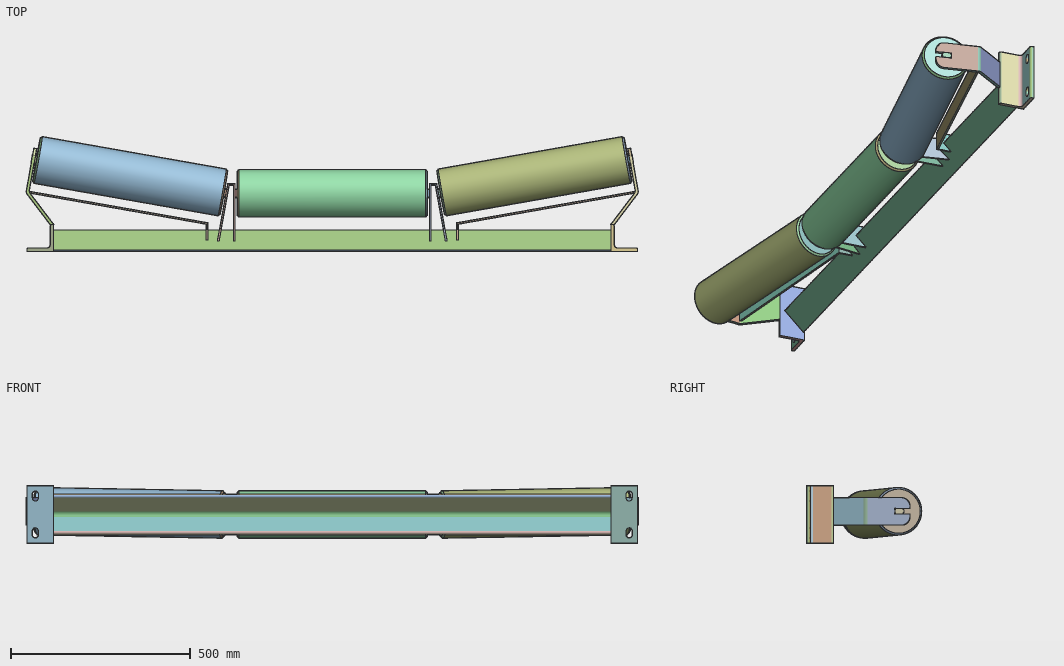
import cadquery as cq
import math


total_length = 1705.0
trough_angle = 10.0
forward_tilt = 1.0

beam_leg = 80.0
beam_thickness = 9.0
beam_root_radius = 10.0
beam_toe_radius = 5.0

foot_half_span = 850.0
foot_leg = 75.0
foot_thickness = 10.0
foot_root_radius = 9.0
foot_toe_radius = 5.0
foot_width = 160.0
bolt_slot_width = 17.0
bolt_slot_length = 27.0
bolt_slot_edge = 24.0
bolt_slot_pitch = 102.0
arm_thickness = 9.0
arm_width = 77.0
arm_offset = 9.0
arm_bend_height = 164.0
arm_bend_radius = 14.0
arm_top_height = 288.0
arm_corner_radius = 24.0

roller_radius = 66.0
roller_length = 530.0
roller_edge = 5.0
shaft_diameter = 25.0
shaft_flat_width = 15.0
side_shaft_reach = 14.0
slot_overrun = 2.0
middle_axis_height = 162.0
side_inner_x = 302.0
side_inner_height = 164.0

strip_thickness = 5.0
saddle_width = 61.0
saddle_height = 190.0
saddle_gap = 5.0
guard_width = 51.0
guard_offset = 3.0
guard_leg_x = 346.0
guard_corner_height = 80.0

trough = math.radians(trough_angle)
beam_drop = beam_leg * math.sqrt(0.5)
toe_drop = beam_thickness * math.sqrt(0.5)
toe_trim = beam_toe_radius * (math.sqrt(2) - 1)
beam_top = beam_drop + toe_drop - toe_trim
web_outer_x = foot_half_span - foot_leg + foot_thickness
web_inner_x = foot_half_span - foot_leg


def prism(points, z_middle, width):
    """Closed XY outline extruded symmetrically about z_middle."""
    return (
        cq.Workplane("XY")
        .workplane(offset=z_middle - width / 2)
        .polyline(points)
        .close()
        .extrude(width)
    )


def bent_strip(path, thickness, z_middle, width):
    """Sheet of even thickness lying to the left of an XY path, with mitred bends."""
    normals = []
    for (x0, y0), (x1, y1) in zip(path, path[1:]):
        length = math.hypot(x1 - x0, y1 - y0)
        normals.append(((y0 - y1) / length, (x1 - x0) / length))
    far_side = []
    for i, (x, y) in enumerate(path):
        ax, ay = normals[max(i - 1, 0)]
        bx, by = normals[min(i, len(normals) - 1)]
        reach = thickness / (1 + ax * bx + ay * by)
        far_side.append((x + (ax + bx) * reach, y + (ay + by) * reach))
    return prism(path + far_side[::-1], z_middle, width)


def mirrored(body):
    return body.mirror("YZ")


def place_side(body):
    """Moves a body built around the X axis, centred on a roller, to the left roller's place."""
    half = roller_length / 2
    tilt = math.radians(forward_tilt)
    return (
        body.rotate((0, 0, 0), (0, 1, 0), forward_tilt)
        .rotate((0, 0, 0), (0, 0, 1), -trough_angle)
        .translate((
            -side_inner_x - half * math.cos(tilt) * math.cos(trough),
            side_inner_height + half * math.cos(tilt) * math.sin(trough),
            half * math.sin(tilt),
        ))
    )


def place_middle(body):
    return body.translate((0, middle_axis_height, 0))


def make_roller():
    shell = (
        cq.Workplane("YZ")
        .circle(roller_radius)
        .extrude(roller_length)
        .translate((-roller_length / 2, 0, 0))
        .faces("<X or >X")
        .edges()
        .chamfer(roller_edge)
    )
    bore = cq.Workplane("YZ").circle(shaft_diameter / 2).extrude(roller_length, both=True)
    return shell.cut(bore)


def make_shaft(outer_end, inner_end):
    """Round shaft along X with two flats on each end that stands out of the roller."""
    shaft = cq.Workplane("YZ").circle(shaft_diameter / 2).extrude(inner_end + outer_end)
    shaft = shaft.translate((-outer_end, 0, 0))
    flats = cq.Workplane("XY").box(2 * total_length, shaft_diameter, shaft_flat_width)
    core = cq.Workplane("XY").box(roller_length, shaft_diameter, shaft_diameter)
    return shaft.intersect(flats.union(core))


def make_shaft_slot(x_start, x_end):
    """Cutter for a slot that carries a shaft end and is open upwards."""
    height = roller_radius + shaft_diameter / 2
    slot = cq.Workplane("XY").box(
        x_end - x_start, height, shaft_flat_width, centered=(False, False, True)
    )
    return slot.translate((x_start, -shaft_diameter / 2, 0))


arm_lean = math.atan2(total_length / 2 - web_outer_x, arm_bend_height - foot_leg)
bend_half_angle = (arm_lean + trough) / 2
bend_tilt = (arm_lean - trough) / 2
bend_overshoot = arm_bend_radius * (math.cos(bend_tilt) / math.cos(bend_half_angle) - 1)
bend_x = total_length / 2 + bend_overshoot
arm_top_x = bend_x - (arm_top_height - arm_bend_height) * math.tan(trough)


def make_foot():
    angle = prism(
        [
            (-foot_half_span, 0),
            (-web_inner_x, 0),
            (-web_inner_x, foot_leg),
            (-web_outer_x, foot_leg),
            (-web_outer_x, foot_thickness),
            (-foot_half_span, foot_thickness),
        ],
        0,
        foot_width,
    )
    root = cq.selectors.NearestToPointSelector((-web_outer_x, foot_thickness, 0))
    angle = angle.edges("|Z").edges(root).fillet(foot_root_radius)
    for toe in [(-web_outer_x, foot_leg, 0), (-foot_half_span, foot_thickness, 0)]:
        toe_edge = cq.selectors.NearestToPointSelector(toe)
        angle = angle.edges("|Z").edges(toe_edge).fillet(foot_toe_radius)
    slots = (
        cq.Workplane("XZ")
        .center(bolt_slot_edge - foot_half_span, 0)
        .pushPoints([(0, -bolt_slot_pitch / 2), (0, bolt_slot_pitch / 2)])
        .slot2D(bolt_slot_length, bolt_slot_width, 90)
        .extrude(foot_leg, both=True)
    )
    return angle.cut(slots)


def make_arm():
    overrun = arm_thickness * math.tan(arm_lean)
    path = [
        (-arm_top_x, arm_top_height),
        (-bend_x, arm_bend_height),
        (-web_outer_x + overrun, foot_leg - arm_thickness),
    ]
    arm = bent_strip(path, arm_thickness, arm_offset, arm_width)
    below_web_top = cq.Workplane("XY").box(
        2 * total_length, foot_leg, 2 * foot_width, centered=(True, False, True)
    )
    arm = arm.cut(below_web_top)
    outer_bend = cq.selectors.NearestToPointSelector((-bend_x, arm_bend_height, arm_offset))
    inner_bend = cq.selectors.NearestToPointSelector((-bend_x + arm_thickness, arm_bend_height, arm_offset))
    arm = arm.edges("|Z").edges(outer_bend).fillet(arm_bend_radius)
    arm = arm.edges("|Z").edges(inner_bend).fillet(arm_bend_radius - arm_thickness)
    return arm.faces(">Y").edges("#Z").fillet(arm_corner_radius)


def make_end_bracket(side_slot):
    return make_foot().union(make_arm()).cut(side_slot)


def make_beam():
    corner_inside = beam_top - beam_thickness / math.sqrt(0.5)
    outline = [
        (beam_top, 0),
        (toe_drop - toe_trim, beam_drop),
        (-toe_trim, beam_drop - toe_drop),
        (corner_inside, 0),
        (-toe_trim, toe_drop - beam_drop),
        (toe_drop - toe_trim, -beam_drop),
    ]
    beam = (
        cq.Workplane("YZ")
        .workplane(offset=-web_inner_x)
        .polyline(outline)
        .close()
        .extrude(2 * web_inner_x)
    )
    root = cq.selectors.NearestToPointSelector((0, corner_inside, 0))
    beam = beam.edges("|X").edges(root).fillet(beam_root_radius)
    for side in (-1, 1):
        toe_edge = cq.selectors.NearestToPointSelector((0, -toe_trim, side * (beam_drop - toe_drop)))
        beam = beam.edges("|X").edges(toe_edge).fillet(beam_toe_radius)
    return beam


def make_beam_envelope():
    """Everything below the beam's two outer faces, where no strip may reach."""
    reach = total_length
    return (
        cq.Workplane("YZ")
        .polyline([(beam_top, 0), (beam_top - reach, reach), (beam_top - reach, -reach)])
        .close()
        .extrude(total_length, both=True)
    )


def make_saddle(slots):
    """Inverted U: an upright leg beside the middle roller, a leaning one beside the side roller."""
    upright_x = roller_length / 2 + saddle_gap
    leaning_x = side_inner_x - (saddle_gap + strip_thickness) / math.cos(trough)
    leaning_top_x = leaning_x - (saddle_height - side_inner_height) * math.tan(trough)
    leaning_foot_x = leaning_x + side_inner_height * math.tan(trough)
    path = [
        (-leaning_foot_x, 0),
        (-leaning_top_x, saddle_height - strip_thickness),
        (-upright_x - strip_thickness, saddle_height - strip_thickness),
        (-upright_x - strip_thickness, 0),
    ]
    saddle = bent_strip(path, strip_thickness, 0, saddle_width)
    for slot in slots:
        saddle = saddle.cut(slot)
    return saddle


def make_guard():
    """Strip under a side roller, from a short leg on the beam out to the bend of the arm."""
    outer_x = bend_x - arm_thickness / 2
    outer_height = guard_corner_height + (outer_x - guard_leg_x) * math.tan(trough)
    path = [
        (-guard_leg_x, 0),
        (-guard_leg_x, guard_corner_height),
        (-outer_x, outer_height),
    ]
    return bent_strip(path, strip_thickness, guard_offset, guard_width)


inner_reach = roller_length / 2 + saddle_gap + strip_thickness
outer_reach = roller_length / 2 + side_shaft_reach

left_bracket = make_end_bracket(place_side(make_shaft_slot(-outer_reach - slot_overrun, 0)))
left_saddle = make_saddle([
    place_side(make_shaft_slot(0, inner_reach + slot_overrun)),
    place_middle(make_shaft_slot(-inner_reach - slot_overrun, 0)),
])
left_strips = left_saddle.union(make_guard()).cut(make_beam_envelope()).cut(left_bracket)
crossbeam = make_beam().union(left_strips).union(mirrored(left_strips))
end_brackets = [left_bracket, mirrored(left_bracket)]

left_roller = place_side(make_roller())
rollers = [left_roller, place_middle(make_roller()), mirrored(left_roller)]

left_shaft = place_side(make_shaft(outer_reach, inner_reach))
middle_shaft = place_middle(make_shaft(inner_reach, inner_reach))
shafts = [left_shaft, middle_shaft, mirrored(left_shaft)]

result = cq.Compound.makeCompound(
    [body.val() for body in [crossbeam, *end_brackets, *rollers, *shafts]]
)